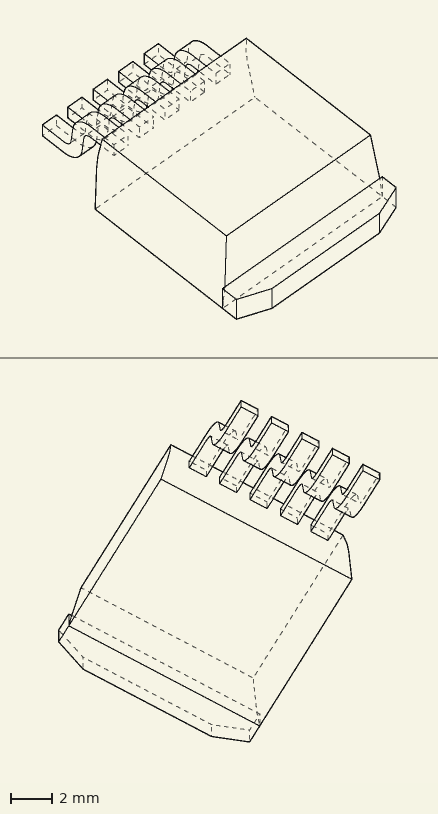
import cadquery as cq
import math

total_length = 15.88
package_width = 10.67
package_height = 4.6

lead_count = 5
lead_pitch = 1.7
lead_width = 0.95
lead_thickness = 0.78
lead_top = 3.37
foot_length = 1.54
bend_inner_radius = 0.5
bend_angle = math.radians(83)

body_front = 5.05
body_back = 14.23
top_front_inset = 0.16
bottom_front_inset = 0.2
top_back_inset = 0.27
top_side_inset = 0.52

tab_thickness = 1.43
tab_corner_length = 0.67
tab_corner_width = 1.75

lead_bottom = lead_top - lead_thickness
half_width = package_width / 2


def make_housing():
    """Moulded body: lengthwise profile trimmed by side faces that lean inward."""
    profile = (
        cq.Workplane("XZ")
        .polyline([
            (body_front + bottom_front_inset, 0),
            (body_back, 0),
            (body_back, tab_thickness),
            (body_back - top_back_inset, package_height),
            (body_front + top_front_inset, package_height),
            (body_front, lead_top),
            (body_front, lead_bottom),
        ])
        .close()
        .extrude(half_width, both=True)
    )
    top_half_width = half_width - top_side_inset
    tapered_section = (
        cq.Workplane("YZ")
        .polyline([
            (-half_width, 0),
            (half_width, 0),
            (top_half_width, package_height),
            (-top_half_width, package_height),
        ])
        .close()
        .extrude(total_length)
    )
    return profile.intersect(tapered_section)


def make_tab():
    """Flat metal tab with two cut corners at its free end."""
    corner_x = total_length - tab_corner_length
    end_half_width = half_width - tab_corner_width
    return (
        cq.Workplane("XY")
        .polyline([
            (body_back, -half_width),
            (corner_x, -half_width),
            (total_length, -end_half_width),
            (total_length, end_half_width),
            (corner_x, half_width),
            (body_back, half_width),
        ])
        .close()
        .extrude(tab_thickness)
    )


def make_lead(y):
    """Gull-wing lead: a rectangular strip swept along its centre line."""
    foot_z = lead_thickness / 2
    shoulder_z = lead_top - lead_thickness / 2
    bend_radius = bend_inner_radius + lead_thickness / 2
    bend_run = bend_radius * math.sin(bend_angle)
    bend_rise = bend_radius * (1 - math.cos(bend_angle))
    web_rise = shoulder_z - foot_z - 2 * bend_rise
    web_run = web_rise / math.tan(bend_angle)

    web_start = (foot_length + bend_run, foot_z + bend_rise)
    web_end = (web_start[0] + web_run, web_start[1] + web_rise)
    shoulder_start = (web_end[0] + bend_run, shoulder_z)

    centre_line = (
        cq.Workplane("XZ", origin=(0, y, 0))
        .moveTo(0, foot_z)
        .lineTo(foot_length, foot_z)
        .tangentArcPoint(web_start, relative=False)
        .lineTo(*web_end)
        .tangentArcPoint(shoulder_start, relative=False)
        .lineTo(body_front, shoulder_z)
    )
    return (
        cq.Workplane("YZ", origin=(0, y, foot_z))
        .rect(lead_width, lead_thickness)
        .sweep(centre_line)
    )


housing = make_housing()
tab = make_tab()

leads = []
for index in range(lead_count):
    lead_y = (index - (lead_count - 1) / 2) * lead_pitch
    leads.append(make_lead(lead_y).val())

result = cq.Compound.makeCompound([housing.val(), tab.val(), *leads])